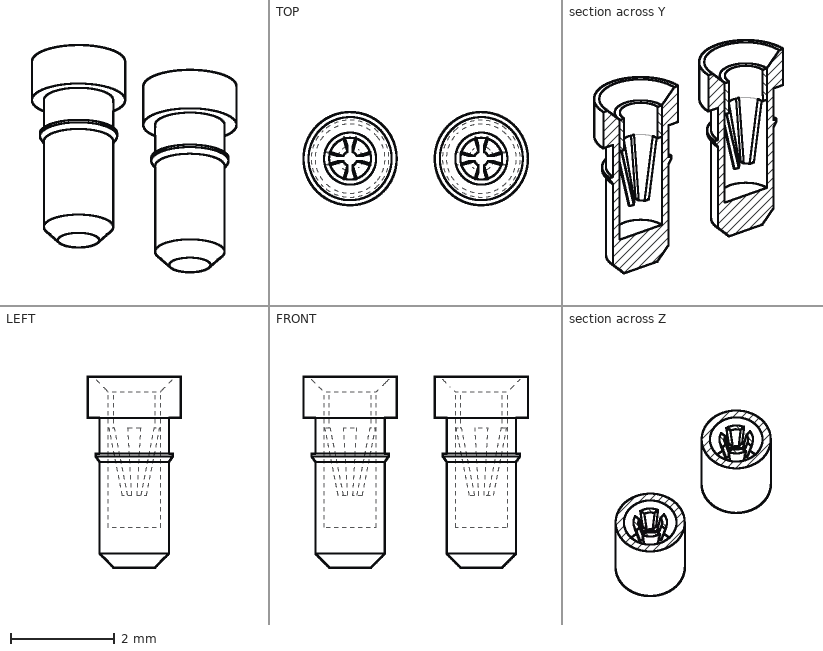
import cadquery as cq

head_diameter = 1.81
overall_length = 4.35
socket_height = 3.7
socket_pitch = overall_length - head_diameter

body_diameter = 1.35
tip_diameter = 0.8
tip_chamfer_height = 0.275
head_height = 0.8
neck_height = 0.69
collar_diameter = 1.5
collar_rim_height = 0.052
collar_taper_height = 0.11

mouth_diameter = 1.61
mouth_depth = 0.3
bore_diameter = 1.01
bore_floor_z = 0.785

clip_inner_diameter = 0.81
clip_tube_length = 0.695
finger_height = 1.305
finger_tip_inner_diameter = 0.28
slot_top_width = 0.252
slot_bottom_width = 0.1

head_bottom_z = socket_height - head_height
collar_top_z = head_bottom_z - neck_height
collar_rim_bottom_z = collar_top_z - collar_rim_height
collar_bottom_z = collar_rim_bottom_z - collar_taper_height
clip_top_z = socket_height - mouth_depth
finger_top_z = clip_top_z - clip_tube_length
finger_tip_z = finger_top_z - finger_height
finger_tip_outer_diameter = finger_tip_inner_diameter + bore_diameter - clip_inner_diameter


def revolve_profile(points):
    """Revolve a closed (radius, z) outline about the Z axis."""
    return cq.Workplane("XZ").polyline(points).close().revolve(360, (0, 0), (0, 1))


def make_shell():
    """Turned shell with a head, a press-fit collar and a blind bore under a conical mouth."""
    body_radius = body_diameter / 2
    head_radius = head_diameter / 2
    collar_radius = collar_diameter / 2
    bore_radius = bore_diameter / 2
    return revolve_profile([
        (0, 0),
        (tip_diameter / 2, 0),
        (body_radius, tip_chamfer_height),
        (body_radius, collar_bottom_z),
        (collar_radius, collar_rim_bottom_z),
        (collar_radius, collar_top_z),
        (body_radius, collar_top_z),
        (body_radius, head_bottom_z),
        (head_radius, head_bottom_z),
        (head_radius, socket_height),
        (mouth_diameter / 2, socket_height),
        (bore_radius, clip_top_z),
        (bore_radius, bore_floor_z),
        (0, bore_floor_z),
    ])


def make_finger_slot():
    """Tapered cutter along Y that splits the fingers on both sides of the axis."""
    return (
        cq.Workplane("XZ")
        .polyline([
            (-slot_bottom_width / 2, finger_tip_z),
            (slot_bottom_width / 2, finger_tip_z),
            (slot_top_width / 2, finger_top_z),
            (-slot_top_width / 2, finger_top_z),
        ])
        .close()
        .extrude(bore_diameter, both=True)
    )


def make_clip():
    """Spring clip: a plain tube at the top, four converging fingers below."""
    blank = revolve_profile([
        (clip_inner_diameter / 2, clip_top_z),
        (bore_diameter / 2, clip_top_z),
        (bore_diameter / 2, finger_top_z),
        (finger_tip_outer_diameter / 2, finger_tip_z),
        (finger_tip_inner_diameter / 2, finger_tip_z),
        (clip_inner_diameter / 2, finger_top_z),
    ])
    slot = make_finger_slot()
    return blank.cut(slot).cut(slot.rotate((0, 0, 0), (0, 0, 1), 90))


shell = make_shell()
clip = make_clip()

bodies = []
for socket_x in (-socket_pitch / 2, socket_pitch / 2):
    offset = (socket_x, 0, 0)
    bodies.append(shell.translate(offset).val())
    bodies.append(clip.translate(offset).val())

result = cq.Compound.makeCompound(bodies)